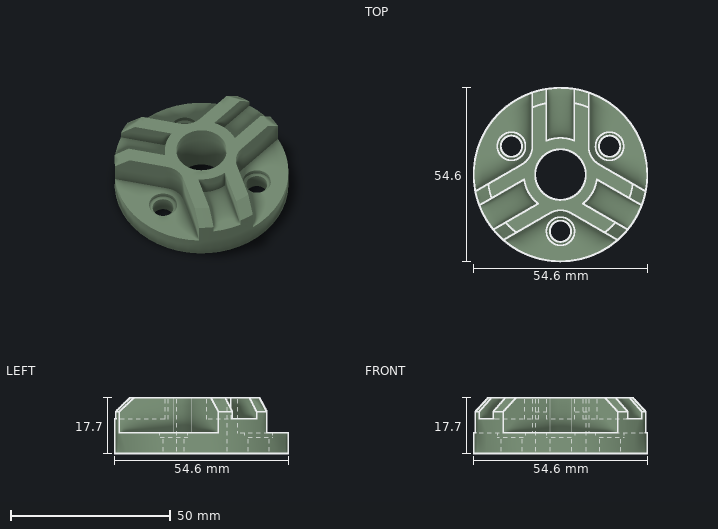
import cadquery as cq

outer_diameter = 54.6
total_height = 17.65
base_height = 6.6
bore_diameter = 15.85

arm_count = 3
arm_pitch = 360 / arm_count
arm_width = 17.65
arm_corner_radius = 6.6
rim_chamfer = 4.4

slot_width = 8.8
slot_depth = 6.6
collar_radius = 11.5

screw_circle_radius = 17.8
screw_diameter = 6.6
counterbore_diameter = 8.85
counterbore_depth = 1.5

outer_radius = outer_diameter / 2
arm_height = total_height - base_height


def radial_bars(width, length, height, bottom):
    """Bars running outward from the axis, one per arm."""
    bars = cq.Workplane("XY")
    for index in range(arm_count):
        bar = (
            cq.Workplane("XY", origin=(0, length / 2, bottom))
            .box(width, length, height, centered=(True, True, False))
            .rotate((0, 0, 0), (0, 0, 1), index * arm_pitch)
        )
        bars = bars.union(bar)
    return bars


def make_arms():
    """Arms with rounded inner corners, trimmed to a disc with a chamfered rim."""
    bars = radial_bars(arm_width, outer_diameter, arm_height, base_height)
    inner_corners = cq.selectors.BoxSelector(
        (-outer_radius, -outer_radius, 0), (outer_radius, outer_radius, total_height)
    )
    bars = bars.edges("|Z").edges(inner_corners).fillet(arm_corner_radius)
    disc = (
        cq.Workplane("XY", origin=(0, 0, base_height))
        .circle(outer_radius)
        .extrude(arm_height)
        .faces(">Z")
        .chamfer(rim_chamfer)
    )
    return bars.intersect(disc)


def make_slots():
    """Cutters for the arm slots, stopping at the collar."""
    slot_floor = total_height - slot_depth
    bars = radial_bars(slot_width, outer_diameter, slot_depth, slot_floor)
    collar = cq.Workplane("XY", origin=(0, 0, slot_floor)).circle(collar_radius).extrude(slot_depth)
    return bars.cut(collar)


base = cq.Workplane("XY").circle(outer_radius).extrude(base_height)
body = base.union(make_arms()).cut(make_slots())

bore = cq.Workplane("XY").circle(bore_diameter / 2).extrude(total_height)
body = body.cut(bore)

result = (
    body.copyWorkplane(cq.Workplane("XY", origin=(0, 0, base_height)))
    .polarArray(screw_circle_radius, -90, 360, arm_count)
    .cboreHole(screw_diameter, counterbore_diameter, counterbore_depth)
)